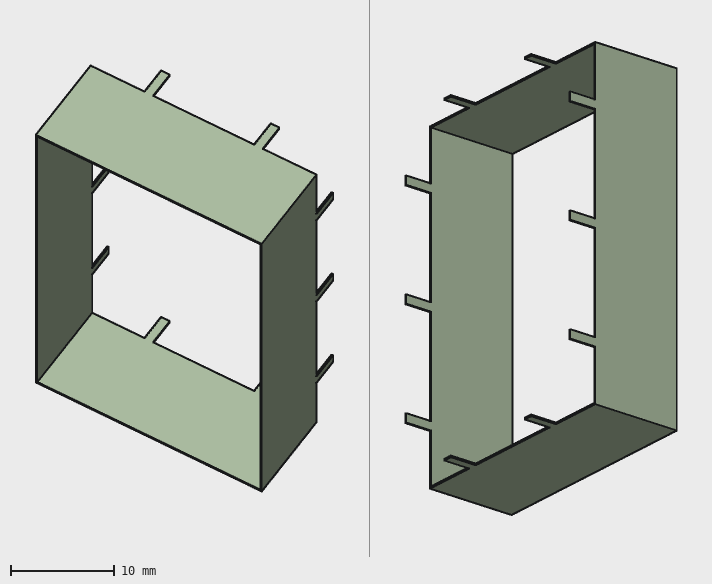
import cadquery as cq

width = 25.8
height = 38.48
total_depth = 13.2
sheet = 0.2

tab_length = 3.08
tab_width = 1.0
side_tab_pitch = 12.62
end_tab_spacing = 12.5

wall_depth = total_depth - tab_length
front_y = -total_depth / 2
wall_rear_y = front_y + wall_depth


def block(size_x, size_y, size_z, center_x, start_y, center_z):
    """Box centred in X and Z, running toward +Y from start_y."""
    box = cq.Workplane("XY").box(size_x, size_y, size_z, centered=(True, False, True))
    return box.translate((center_x, start_y, center_z))


outer = block(width, wall_depth, height, 0, front_y, 0)
opening = block(width - 2 * sheet, wall_depth, height - 2 * sheet, 0, front_y, 0)
result = outer.cut(opening)

for side in (-1, 1):
    side_x = side * (width - sheet) / 2
    for row in (-1, 0, 1):
        tab = block(sheet, tab_length, tab_width, side_x, wall_rear_y, row * side_tab_pitch)
        result = result.union(tab)

    end_z = side * (height - sheet) / 2
    for column in (-0.5, 0.5):
        tab = block(tab_width, tab_length, sheet, column * end_tab_spacing, wall_rear_y, end_z)
        result = result.union(tab)